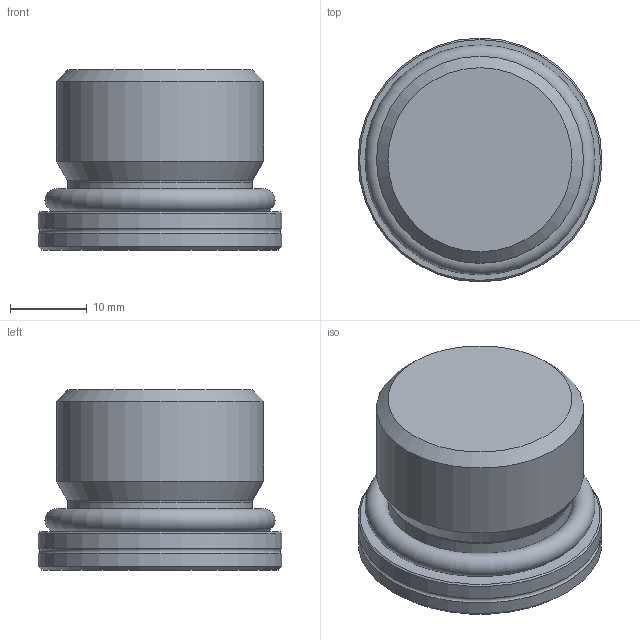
import cadquery as cq
import math

total_height = 23.5

flange_radius = 31.8 / 2
flange_height = 5.0
flange_bottom_chamfer = 0.5
flange_top_chamfer = 0.2

groove_width = 0.7
groove_depth = 0.25
groove_height = flange_height / 2

neck_radius = 24.0 / 2
neck_top = 9.0

head_radius = 27.0 / 2
head_chamfer = 1.5
head_taper_angle = 30.0
neck_fillet = 0.5

ring_section_radius = 1.5
ring_centre_radius = neck_radius + ring_section_radius
ring_centre_height = flange_height + ring_section_radius


def make_plug():
    """Revolve the half section, whose local axes are radius and height."""
    taper_height = (head_radius - neck_radius) / math.tan(math.radians(head_taper_angle))
    head_bottom = neck_top + taper_height

    tangent_length = neck_fillet * math.tan(math.radians(head_taper_angle / 2))
    fillet_centre_radius = neck_radius + neck_fillet
    fillet_start = neck_top - tangent_length
    half_turn = math.radians(head_taper_angle / 2)
    full_turn = math.radians(head_taper_angle)
    fillet_middle = (
        fillet_centre_radius - neck_fillet * math.cos(half_turn),
        fillet_start + neck_fillet * math.sin(half_turn),
    )
    fillet_end = (
        fillet_centre_radius - neck_fillet * math.cos(full_turn),
        fillet_start + neck_fillet * math.sin(full_turn),
    )

    section = (
        cq.Workplane("XZ")
        .lineTo(flange_radius - flange_bottom_chamfer, 0)
        .lineTo(flange_radius, flange_bottom_chamfer)
        .lineTo(flange_radius, groove_height - groove_width / 2)
        .threePointArc(
            (flange_radius - groove_depth, groove_height),
            (flange_radius, groove_height + groove_width / 2),
        )
        .lineTo(flange_radius, flange_height - flange_top_chamfer)
        .lineTo(flange_radius - flange_top_chamfer, flange_height)
        .lineTo(neck_radius, flange_height)
        .lineTo(neck_radius, fillet_start)
        .threePointArc(fillet_middle, fillet_end)
        .lineTo(head_radius, head_bottom)
        .lineTo(head_radius, total_height - head_chamfer)
        .lineTo(head_radius - head_chamfer, total_height)
        .lineTo(0, total_height)
        .close()
    )
    return section.revolve(360, (0, 0), (0, 1))


def make_o_ring():
    """Revolve the round section of the seal about the plug axis."""
    section = (
        cq.Workplane("XZ")
        .moveTo(ring_centre_radius, ring_centre_height)
        .circle(ring_section_radius)
    )
    return section.revolve(360, (0, 0), (0, 1))


plug = make_plug()
o_ring = make_o_ring()

result = cq.Compound.makeCompound([plug.val(), o_ring.val()])